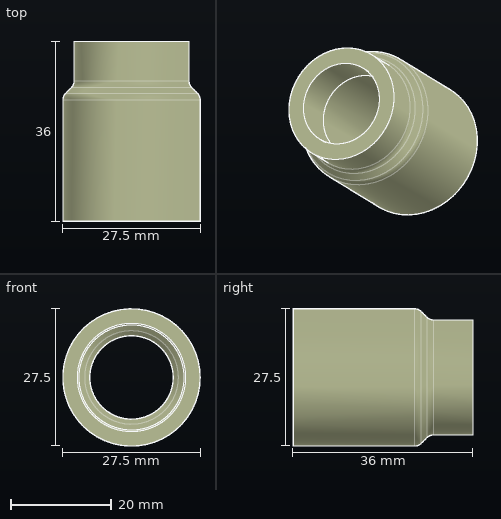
import cadquery as cq
import math

length = 36.0
body_radius = 13.75
spigot_radius = 11.52
spigot_length = 7.92
blend_radius = 1.85
shoulder_angle = math.radians(45)

socket_radius = 10.5
mouth_chamfer = 0.32
throat_radius = 9.35
bore_radius = 8.3
socket_depth = 24.3
seat_angle = math.radians(52)
throat_angle = math.radians(45)

spigot_start = length - spigot_length
arc_axial = blend_radius * math.sin(shoulder_angle)
arc_radial = blend_radius * (1 - math.cos(shoulder_angle))
half_axial = blend_radius * math.sin(shoulder_angle / 2)
half_radial = blend_radius * (1 - math.cos(shoulder_angle / 2))
cone_radial = body_radius - spigot_radius - 2 * arc_radial
cone_axial = cone_radial / math.tan(shoulder_angle)
body_end = spigot_start - 2 * arc_axial - cone_axial
throat_start = socket_depth + (socket_radius - throat_radius) / math.tan(seat_angle)
bore_start = throat_start + (throat_radius - bore_radius) / math.tan(throat_angle)

section = (
    cq.Workplane("XY")
    .moveTo(socket_radius + mouth_chamfer, 0)
    .lineTo(body_radius, 0)
    .lineTo(body_radius, body_end)
    .threePointArc(
        (body_radius - half_radial, body_end + half_axial),
        (body_radius - arc_radial, body_end + arc_axial),
    )
    .lineTo(spigot_radius + arc_radial, spigot_start - arc_axial)
    .threePointArc(
        (spigot_radius + half_radial, spigot_start - half_axial),
        (spigot_radius, spigot_start),
    )
    .lineTo(spigot_radius, length)
    .lineTo(bore_radius, length)
    .lineTo(bore_radius, bore_start)
    .lineTo(throat_radius, throat_start)
    .lineTo(socket_radius, socket_depth)
    .lineTo(socket_radius, mouth_chamfer)
    .close()
)

result = section.revolve(360, (0, 0, 0), (0, 1, 0))